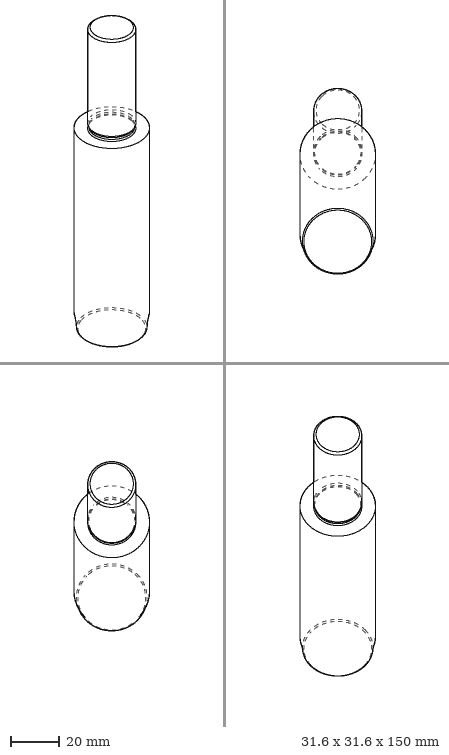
import cadquery as cq

total_height = 150.0
body_height = 100.0

body_radius = 15.8
taper_top = 8.2
taper_break = 4.2
taper_break_radius = 15.0
foot_radius = 14.7
foot_chamfer = 0.6

recess_radius = 11.8
recess_depth = 0.3

shaft_gap = 2.2
neck_chamfer_height = 0.9
neck_flare_height = 0.5
shaft_radius = 10.0
shaft_bottom = body_height + shaft_gap
shaft_chamfer_width = 1.0
shaft_chamfer_height = 0.9
neck_radius = 9.6
neck_top = shaft_bottom - neck_chamfer_height
neck_bottom = body_height + neck_flare_height

half_section = [
    (0, 0),
    (foot_radius - foot_chamfer, 0),
    (foot_radius, foot_chamfer),
    (taper_break_radius, taper_break),
    (body_radius, taper_top),
    (body_radius, body_height),
    (recess_radius, body_height),
    (shaft_radius, body_height - recess_depth),
    (neck_radius, neck_bottom),
    (neck_radius, neck_top),
    (shaft_radius, shaft_bottom),
    (shaft_radius, total_height - shaft_chamfer_height),
    (shaft_radius - shaft_chamfer_width, total_height),
    (0, total_height),
]

result = cq.Workplane("XZ").polyline(half_section).close().revolve(360, (0, 0, 0), (0, 1, 0))